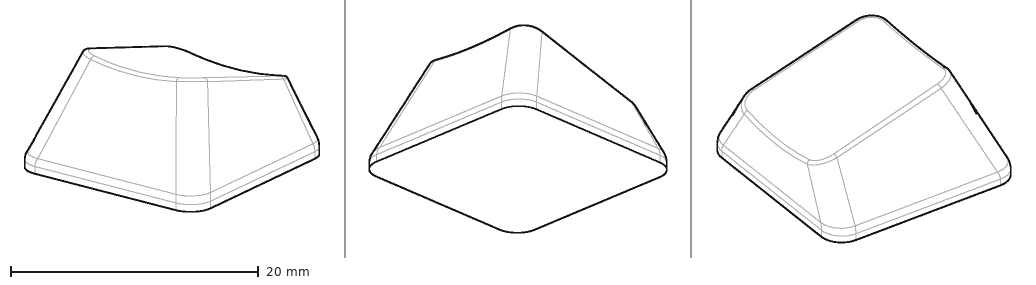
import cadquery as cq
import math

BASE_SIDE = 18.16
BASE_CORNER_RADIUS = 2.0
SKIRT_HEIGHT = 0.65
SHOULDER_TOP_HEIGHT = 1.3
SHOULDER_SIDE_INSET = 0.16
SHOULDER_FRONT_INSET = 0.18
SHOULDER_BACK_INSET = 0.04

TOP_WIDTH = 11.77
TOP_FRONT_Y = -4.94
TOP_BACK_Y = 8.6
TOP_CORNER_RADIUS = 1.82
TOP_SLOPE_ANGLE = 16.0
TOP_HEIGHT_AT_CENTER = 8.63

DISH_RADIUS = 25.42
DISH_DEPTH = 0.82
RIM_RADIUS = 0.36

slope = math.radians(TOP_SLOPE_ANGLE)
top_length = (TOP_BACK_Y - TOP_FRONT_Y) / math.cos(slope)
top_center_y = (TOP_FRONT_Y + TOP_BACK_Y) / 2
top_center_z = TOP_HEIGHT_AT_CENTER - top_center_y * math.tan(slope)

top_plane = cq.Plane(
    origin=(0, top_center_y, top_center_z),
    xDir=(1, 0, 0),
    normal=(0, math.sin(slope), math.cos(slope)),
)


def rounded_outline(plane, width, length, radius):
    """Closed rounded rectangle centered on the plane's origin."""
    half_width = width / 2
    half_length = length / 2
    diagonal_reach = radius * (1 - math.sqrt(0.5))
    outline = cq.Workplane(plane).moveTo(half_width, radius - half_length)
    for x_sign, y_sign in ((1, 1), (-1, 1), (-1, -1), (1, -1)):
        corner_x = x_sign * half_width
        corner_y = y_sign * half_length
        beside = (corner_x, corner_y - y_sign * radius)
        along = (corner_x - x_sign * radius, corner_y)
        middle = (corner_x - x_sign * diagonal_reach, corner_y - y_sign * diagonal_reach)
        start, end = (beside, along) if x_sign == y_sign else (along, beside)
        outline = outline.lineTo(*start).threePointArc(middle, end)
    return outline.close()


def shoulder_outline(fraction, inset_share):
    """Level outline at a fraction of the shoulder's height, with a share of its full insets."""
    front_inset = SHOULDER_FRONT_INSET * inset_share
    back_inset = SHOULDER_BACK_INSET * inset_share
    height = SKIRT_HEIGHT + fraction * (SHOULDER_TOP_HEIGHT - SKIRT_HEIGHT)
    plane = cq.Plane.XY(origin=(0, (front_inset - back_inset) / 2, height))
    width = BASE_SIDE - 2 * SHOULDER_SIDE_INSET * inset_share
    length = BASE_SIDE - front_inset - back_inset
    return rounded_outline(plane, width, length, BASE_CORNER_RADIUS).val()


def make_skirt():
    """Upright band around the foot of the key."""
    return rounded_outline(cq.Plane.XY(), BASE_SIDE, BASE_SIDE, BASE_CORNER_RADIUS).extrude(SKIRT_HEIGHT)


def make_shoulder():
    """Parabolic blend that starts upright and ends in line with the tapered walls."""
    outlines = [shoulder_outline(fraction, fraction**2) for fraction in (0, 0.5, 1)]
    return cq.Workplane(obj=cq.Solid.makeLoft(outlines))


def make_tapered_walls():
    """Straight-ruled walls from the shoulder up to the sloping top outline."""
    lower = shoulder_outline(1, 1)
    upper = rounded_outline(top_plane, TOP_WIDTH, top_length, TOP_CORNER_RADIUS).val()
    return cq.Workplane(obj=cq.Solid.makeLoft([lower, upper], True))


def make_dish_cutter():
    """Cylinder lying along the slope that hollows the whole top."""
    axis_plane = cq.Plane(
        origin=top_plane.toWorldCoords((0, 0, DISH_RADIUS - DISH_DEPTH)).toTuple(),
        xDir=(1, 0, 0),
        normal=top_plane.yDir.toTuple(),
    )
    return cq.Workplane(axis_plane).circle(DISH_RADIUS).extrude(top_length, both=True)


key = make_skirt().union(make_shoulder()).union(make_tapered_walls())
key = key.cut(make_dish_cutter())

result = key.faces(">Z").edges().fillet(RIM_RADIUS)